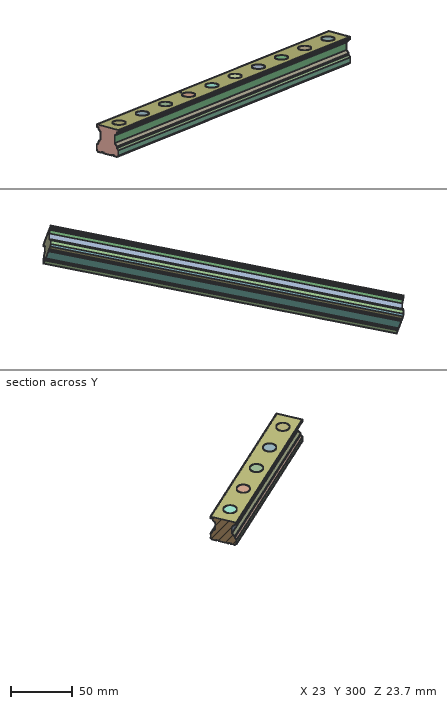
import cadquery as cq

length = 300.0
width = 23.0
height = 23.7
half_width = width / 2

base_chamfer = 1.5
base_shoulder = 6.0
lip_half_width = 10.0
lip_top = 9.0

neck_half_width = 7.5
neck_top = 18.0

flange_bottom = 21.3
flange_top_chamfer = 0.3
flange_bottom_chamfer = 0.5
root_half_width = 9.5

relief_offset = 5.5
relief_width = 2.0
relief_depth = 0.5

hole_count = 10
hole_pitch = 30.0
hole_diameter = 11.0
hole_depth = 0.3

lip_bottom = base_shoulder + (half_width - lip_half_width)
neck_bottom = lip_top + (lip_half_width - neck_half_width)
root_bottom = neck_top + (root_half_width - neck_half_width)


def rail_body():
    """Extrude the mirrored cross-section along Y."""
    right_side = [
        (half_width - base_chamfer, 0),
        (half_width, base_chamfer),
        (half_width, base_shoulder),
        (lip_half_width, lip_bottom),
        (lip_half_width, lip_top),
        (neck_half_width, neck_bottom),
        (neck_half_width, neck_top),
        (root_half_width, root_bottom),
        (root_half_width, flange_bottom),
        (half_width - flange_bottom_chamfer, flange_bottom),
        (half_width, flange_bottom + flange_bottom_chamfer),
        (half_width, height - flange_top_chamfer),
        (half_width - flange_top_chamfer, height),
    ]
    left_side = [(-x, z) for x, z in reversed(right_side)]
    profile = cq.Workplane("XZ").polyline(right_side + left_side).close()
    return profile.extrude(length / 2, both=True)


def relief_grooves():
    """Two full-length grooves in the base."""
    return (
        cq.Workplane("XY")
        .pushPoints([(-relief_offset, 0), (relief_offset, 0)])
        .rect(relief_width, length)
        .extrude(relief_depth)
    )


def hole_recesses():
    """A row of shallow round recesses in the top face."""
    return (
        cq.Workplane("XY", origin=(0, 0, height - hole_depth))
        .rarray(3, hole_pitch, 1, hole_count)
        .circle(hole_diameter / 2)
        .extrude(hole_depth)
    )


result = rail_body().cut(relief_grooves()).cut(hole_recesses())